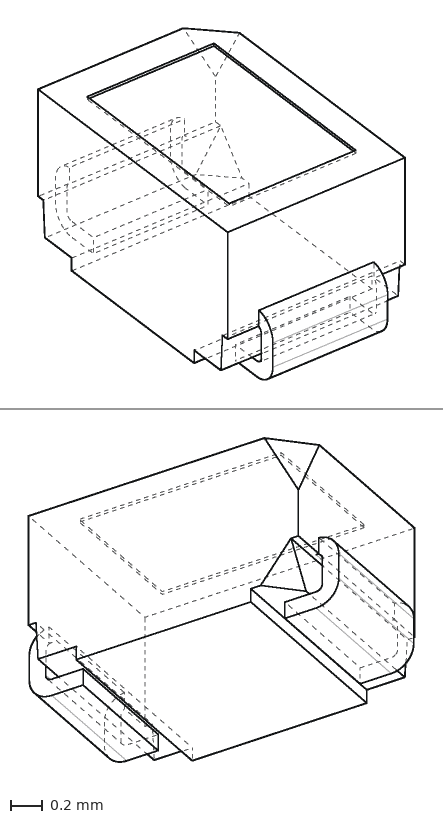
import cadquery as cq

body_length = 2.005
body_width = 1.4
total_height = 1.22
foot_length = 1.297
foot_bottom = 0.023

ledge_height = 0.4
undercut_top_length = 1.895
undercut_bottom_length = 1.863

recess_length = 1.5
recess_width = 1.0
recess_depth = 0.02

top_cut_side = 0.253
top_cut_height = 0.474
bottom_cut_side = 0.21

lead_span = 2.3
lead_width = 0.906
lead_thickness = 0.122
lead_outer_radius = 0.168
lead_inner_radius = 0.045
lead_tip_gap = 1.5

half_width = body_width / 2
half_span = lead_span / 2
lead_top = ledge_height + lead_thickness
body_bottom = lead_thickness


def make_body():
    """Extrude the stepped, undercut end profile across the body width."""
    right_half = [
        (foot_length / 2, foot_bottom),
        (foot_length / 2, body_bottom),
        (undercut_bottom_length / 2, body_bottom),
        (undercut_top_length / 2, ledge_height),
        (body_length / 2, ledge_height),
        (body_length / 2, total_height),
    ]
    left_half = [(-x, z) for x, z in reversed(right_half)]
    profile = cq.Workplane("XZ").polyline(right_half + left_half).close()
    return profile.extrude(half_width, both=True)


def corner_wedge(corner, x_point, y_point, z_point):
    """Tetrahedron spanning a corner and one point along each of its edges."""
    triangles = [
        (corner, x_point, y_point),
        (corner, y_point, z_point),
        (corner, z_point, x_point),
        (x_point, y_point, z_point),
    ]
    faces = []
    for triangle in triangles:
        points = [cq.Vector(*point) for point in triangle]
        faces.append(cq.Face.makeFromWires(cq.Wire.makePolygon(points, close=True)))
    return cq.Workplane(cq.Solid.makeSolid(cq.Shell.makeShell(faces)))


def top_corner_cut():
    """Slanted marker cut where the -X, +Y and top faces meet."""
    x = -body_length / 2
    y = half_width
    z = total_height
    return corner_wedge(
        (x, y, z), (x + top_cut_side, y, z), (x, y - top_cut_side, z), (x, y, z - top_cut_height)
    )


def bottom_corner_cut():
    """Slanted cut below the ledge, running up the tapered wall to the ledge."""
    x = -undercut_bottom_length / 2
    y = half_width
    z = body_bottom
    return corner_wedge(
        (x, y, z),
        (x + bottom_cut_side, y, z),
        (x, y - bottom_cut_side, z),
        (-undercut_top_length / 2, y, ledge_height),
    )


def make_recess():
    """Shallow rectangular pocket in the top face."""
    return (
        cq.Workplane("XY", origin=(0, 0, total_height - recess_depth))
        .rect(recess_length, recess_width)
        .extrude(recess_depth)
    )


def rounded_bar(outer_x, bottom, top, radius):
    """Bar from the lead tip to outer_x with both outer edges rounded."""
    tip = lead_tip_gap / 2
    bar = cq.Workplane("XY").box(outer_x - tip, lead_width, top - bottom, centered=(False, True, False))
    return bar.translate((tip, 0, bottom)).edges("|Y and >X").fillet(radius)


def make_right_lead():
    """C-shaped strip whose upper leg is buried in the body."""
    outside = rounded_bar(half_span, 0, lead_top, lead_outer_radius)
    inside = rounded_bar(half_span - lead_thickness, lead_thickness, ledge_height, lead_inner_radius)
    return outside.cut(inside)


body = make_body().cut(make_recess()).cut(top_corner_cut()).cut(bottom_corner_cut())
right_lead = make_right_lead()
left_lead = right_lead.mirror("YZ")
result = body.union(right_lead).union(left_lead)